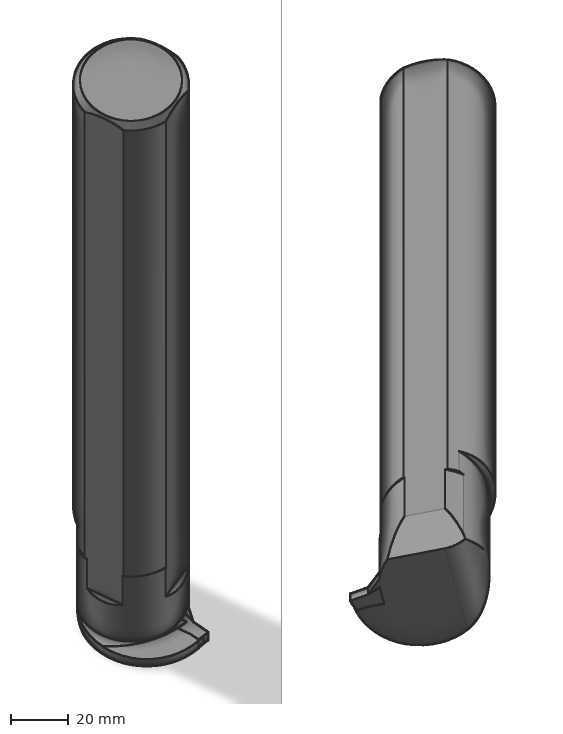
import cadquery as cq

length = 300.0
shank_radius = 20.0
flat_offset = 18.45
top_chamfer = 2.5

head_center_x = 6.3
head_radius = 24.15
head_relief_z = 55.0
neck_center_x = 0.3
neck_radius = 19.8
neck_top_z = 42.0
flat_end_z = 25.5

blade_bottom_z = 0.3
blade_top_z = 4.5
ledge_height = 0.15
ledge_center = (-14.7, 10.5)
ledge_radius = 38.5
heel_radius = 12.0
heel_start_x = head_center_x - head_radius
gullet_root_x = 18.0
gullet_root_y = 7.5
back_slant_z = 17.7
back_slant_depth = 4.8

insert_inner_x = 19.8
insert_lower_y = -4.0
insert_inner_top_y = 3.0
insert_shoulder = (24.3, 1.2)
cutting_corner = (31.0, 0.0)
insert_heel = (29.7, -4.5)
insert_bend_x = 26.0

margin = 30.0


def disc(x, y, radius, bottom, top):
    return cq.Workplane("XY", origin=(x, y, bottom)).circle(radius).extrude(top - bottom)


def relief_ring(center_x, radius, top):
    """Ring cutter outside a radius, with a 45 degree upper end."""
    profile = [
        (radius, -margin),
        (radius + margin, -margin),
        (radius + margin, top + margin),
        (radius, top),
    ]
    ring = cq.Workplane("XZ").polyline(profile).close().revolve(360, (0, 0), (0, 1))
    return ring.translate((center_x, 0, 0))


def flat_cutter(angle, runout_z):
    """Cutter for a flat, turned about Z from +X, with a lower end falling outward at 45 degrees."""
    profile = [
        (flat_offset, runout_z),
        (flat_offset + margin, runout_z - margin),
        (flat_offset + margin, length + margin),
        (flat_offset, length + margin),
    ]
    cutter = cq.Workplane("XZ").polyline(profile).close().extrude(margin, both=True)
    return cutter.rotate((0, 0, 0), (0, 0, 1), angle)


def make_shank():
    shank = disc(0, 0, shank_radius, blade_bottom_z, length).faces(">Z").chamfer(top_chamfer)
    neck = disc(neck_center_x, 0, neck_radius, blade_bottom_z, neck_top_z)
    shank = shank.cut(relief_ring(neck_center_x, neck_radius, neck_top_z)).union(neck)
    shank = shank.cut(relief_ring(head_center_x, head_radius, head_relief_z))
    for angle in (0, -90):
        shank = shank.cut(flat_cutter(angle, flat_end_z))
    return shank.cut(flat_cutter(90, -margin))


def make_blade():
    """Head disc on the -Y side, with a raised ledge beside the neck."""
    front_half = cq.Workplane("XY").box(
        4 * margin, 2 * margin, 2 * margin, centered=(True, False, True)
    ).translate((0, -2 * margin, 0))
    blade = disc(head_center_x, 0, head_radius, blade_bottom_z, blade_top_z)
    ledge = disc(head_center_x, 0, head_radius, blade_bottom_z, blade_top_z + ledge_height)
    ledge = ledge.intersect(disc(*ledge_center, ledge_radius, blade_bottom_z, blade_top_z + ledge_height))
    support = (
        cq.Workplane("XY", origin=(0, 0, blade_bottom_z))
        .polyline([(0, 0), (0, gullet_root_y), (gullet_root_x, gullet_root_y), insert_shoulder, cutting_corner])
        .close()
        .extrude(blade_top_z - blade_bottom_z)
    )
    return blade.union(ledge).intersect(front_half).union(support)


def heel_cutter():
    """Corner waste left outside the heel arc, running along Y."""
    corner = cq.Workplane("XY").box(
        heel_radius + margin, 4 * margin, heel_radius + margin, centered=(False, True, False)
    ).translate((heel_start_x - margin, 0, blade_bottom_z - margin))
    arc_center = (heel_start_x + heel_radius, 0, blade_bottom_z + heel_radius)
    round_bar = cq.Workplane("XZ", origin=arc_center).circle(heel_radius).extrude(2 * margin, both=True)
    return corner.cut(round_bar)


def back_slant_cutter():
    corners = [
        (flat_offset, back_slant_z),
        (flat_offset - back_slant_depth, blade_bottom_z),
        (flat_offset + margin, blade_bottom_z),
        (flat_offset + margin, back_slant_z),
    ]
    return cq.Workplane("YZ").polyline(corners).close().extrude(2 * margin, both=True)


def make_insert():
    outline = [
        (insert_inner_x, insert_lower_y),
        (insert_bend_x, insert_lower_y),
        insert_heel,
        cutting_corner,
        insert_shoulder,
        (insert_inner_x, insert_inner_top_y),
    ]
    return cq.Workplane("XY").polyline(outline).close().extrude(blade_top_z)


insert = make_insert()
holder = make_shank().union(make_blade()).cut(heel_cutter()).cut(back_slant_cutter()).cut(insert)

result = cq.Compound.makeCompound([holder.val(), insert.val()])